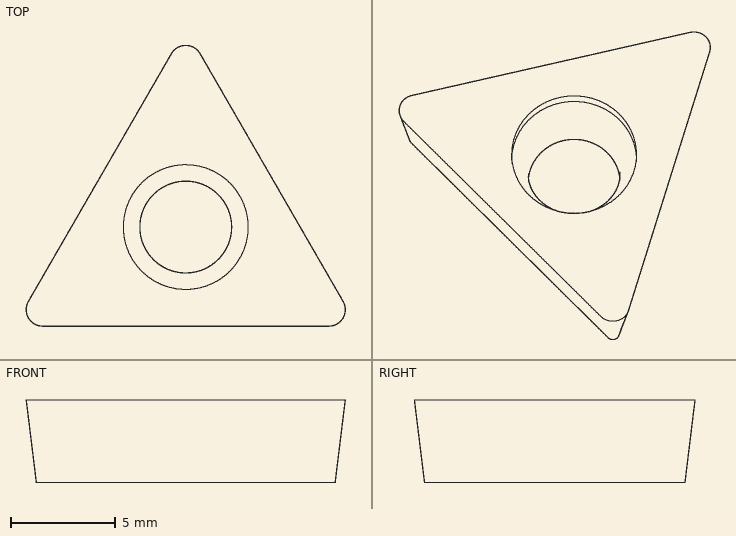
import cadquery as cq
import math

overall_width = 15.33
corner_radius = 0.8
thickness = 3.97
relief_angle = 7

bore_radius = 4.4 / 2
mouth_radius = 6.0 / 2
mouth_depth = 0.8
seat_height = 2.0

seat_step = mouth_radius - bore_radius
seat_arc_radius = (seat_height**2 + seat_step**2) / (2 * seat_step)


def make_body():
    """Rounded triangle narrowing downwards; its corners become cones."""
    flank_inset = thickness * math.tan(math.radians(relief_angle))
    corner_spacing = overall_width - 2 * corner_radius
    corner_distance = corner_spacing / math.sqrt(3)

    def rounded_triangle(radius, z):
        outline = cq.Workplane("XY", origin=(0, 0, z))
        for corner in range(3):
            middle = math.radians(90 + 120 * corner)
            center_x = corner_distance * math.cos(middle)
            center_y = corner_distance * math.sin(middle)
            start, mid, end = [
                (center_x + radius * math.cos(a), center_y + radius * math.sin(a))
                for a in (middle - math.pi / 3, middle, middle + math.pi / 3)
            ]
            outline = outline.moveTo(*start) if corner == 0 else outline.lineTo(*start)
            outline = outline.threePointArc(mid, end)
        return outline.close().wire().val()

    lower = rounded_triangle(corner_radius - flank_inset, 0)
    upper = rounded_triangle(corner_radius, thickness)
    return cq.Workplane(cq.Solid.makeLoft([lower, upper], True))


def make_hole():
    """Revolved cutter for the screw hole."""
    seat_top = thickness - mouth_depth
    seat_bottom = seat_top - seat_height
    half_angle = math.asin(seat_height / seat_arc_radius) / 2
    seat_middle = (
        bore_radius + seat_arc_radius * (1 - math.cos(half_angle)),
        seat_bottom + seat_arc_radius * math.sin(half_angle),
    )
    return (
        cq.Workplane("XZ")
        .lineTo(bore_radius, 0)
        .lineTo(bore_radius, seat_bottom)
        .threePointArc(seat_middle, (mouth_radius, seat_top))
        .lineTo(mouth_radius, thickness)
        .lineTo(0, thickness)
        .close()
        .revolve(360, (0, 0, 0), (0, 1, 0))
    )


result = make_body().cut(make_hole())